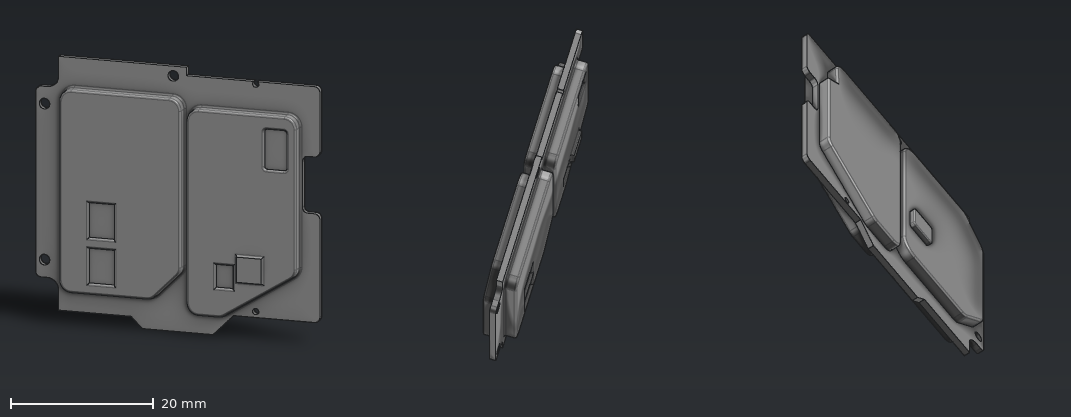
import cadquery as cq
import math


BOARD_THICKNESS = 0.92
FRONT_COVER_HEIGHT = 1.75
BACK_COVER_HEIGHT = 1.68
FRONT_PAD_HEIGHT = 0.5
BACK_PAD_HEIGHT = 0.8
POCKET_DEPTH = 0.45
FRONT_FACE_Y = -FRONT_COVER_HEIGHT
BACK_FACE_Y = BOARD_THICKNESS + BACK_COVER_HEIGHT

BOARD_WIDTH = 41.95
BOARD_HEIGHT = 38.5
BOARD_CORNER_RADIUS = 0.8
SIDE_TAB_WIDTH = 3.35
SIDE_TAB_BOTTOM = 6.25
SIDE_TAB_TOP = 33.97
SIDE_TAB_ROOT_RADIUS = 1.65
TOP_STEP_X = 22.25
TOP_STEP_DROP = 1.2
NOTCH_DEPTH = 2.55
NOTCH_BOTTOM = 18.85
NOTCH_TOP = 27.05
LOWER_LEFT_Z = 1.65
LOWER_RIGHT_Z = 3.0
BOTTOM_TAB_LEFT = 15.73
BOTTOM_TAB_RIGHT = 26.15

SCREW_HOLE_DIAMETER = 1.5
SCREW_HOLES = [(1.3, 8.8), (1.3, 31.45), (20.3, 37.07)]
PIN_HOLE_DIAMETER = 0.9
PIN_HOLE_X = 32.45
PIN_HOLE_LOWER_Z = 3.9
PIN_HOLE_UPPER_Z = 36.9

EDGE_RADIUS = 0.3
COVER_CORNER_RADIUS = 1.7
COVER_CHAMFER = 4.28
BACK_LARGE_RADIUS = 2.5

FRONT_LEFT_LEFT = 4.05
FRONT_LEFT_RIGHT = 21.98
FRONT_LEFT_BOTTOM = 4.8
FRONT_LEFT_TOP = 34.22

FRONT_RIGHT_LEFT = 22.85
COVER_RIGHT = 39.0
FRONT_RIGHT_BOTTOM = 3.05
FRONT_RIGHT_TOP = 32.95
SLANT_START_X = 28.0
SLANT_END_Z = 9.95

BACK_LEFT_LEFT = 2.3
BACK_LEFT_RIGHT = 21.05
BACK_LEFT_BOTTOM = 5.6
BACK_LEFT_TOP = 33.85

BACK_RIGHT_LEFT = 21.9
BACK_RIGHT_BOTTOM = 3.2
BACK_RIGHT_TOP = 34.15
BACK_RIGHT_SHOULDER_X = 37.1
BACK_RIGHT_SHOULDER_Z = NOTCH_TOP
BACK_RIGHT_UNDERCUT = 0.15
SHOULDER_SLOPE = 37.0

POCKETS = [
    (8.4, 13.0, 3.75, 5.07),
    (8.4, 6.37, 3.75, 5.07),
    (27.15, 7.35, 2.5, 3.35),
]
ROUNDED_POCKET = (34.25, 25.1, 3.3, 5.87)
ROUNDED_POCKET_RADIUS = 0.4
FRONT_PAD = (30.32, 8.5, 3.7, 3.7)
BACK_PAD = (15.5, 12.4, 4.28, 4.28)
BACK_PAD_CORNER_RADIUS = 0.5
BACK_PAD_EDGE_RADIUS = 0.15

TOLERANCE = 0.02
DEPTH_REACH = 20.95


def prism(corners, y_start, y_end):
    """Solid between two Y planes; each corner is (x, z, radius), radius 0 stays sharp."""
    points = [(x, z) for x, z, _ in corners]
    solid = cq.Workplane("XZ", origin=(0, y_start, 0)).polyline(points).close().extrude(y_start - y_end)
    for x, z, radius in corners:
        if radius > 0:
            low = (x - TOLERANCE, -DEPTH_REACH, z - TOLERANCE)
            high = (x + TOLERANCE, DEPTH_REACH, z + TOLERANCE)
            solid = solid.edges("|Y").edges(cq.selectors.BoxSelector(low, high)).fillet(radius)
    return solid


def block(rectangle, y_start, y_end, radius=0.0):
    """Prism over a (left, bottom, width, height) rectangle with equal corner radii."""
    left, bottom, width, height = rectangle
    right = left + width
    top = bottom + height
    corners = [(left, bottom, radius), (right, bottom, radius), (right, top, radius), (left, top, radius)]
    return prism(corners, y_start, y_end)


def round_rim(body, feature, y, radius=EDGE_RADIUS):
    """Fillet the edges of body that lie in the plane Y = y where the feature meets it."""
    box = feature.val().BoundingBox()
    low = (box.xmin - TOLERANCE, y - TOLERANCE, box.zmin - TOLERANCE)
    high = (box.xmax + TOLERANCE, y + TOLERANCE, box.zmax + TOLERANCE)
    return body.edges(cq.selectors.BoxSelector(low, high, boundingbox=True)).fillet(radius)


def make_board():
    """Flat board without its holes."""
    r = BOARD_CORNER_RADIUS
    step_top = BOARD_HEIGHT - TOP_STEP_DROP
    notch_x = BOARD_WIDTH - NOTCH_DEPTH
    outline = [
        (0, SIDE_TAB_BOTTOM, r),
        (SIDE_TAB_WIDTH, SIDE_TAB_BOTTOM, SIDE_TAB_ROOT_RADIUS),
        (SIDE_TAB_WIDTH, LOWER_LEFT_Z, 0),
        (BOTTOM_TAB_LEFT - LOWER_LEFT_Z, LOWER_LEFT_Z, 0),
        (BOTTOM_TAB_LEFT, 0, 0),
        (BOTTOM_TAB_RIGHT, 0, 0),
        (BOTTOM_TAB_RIGHT + LOWER_RIGHT_Z, LOWER_RIGHT_Z, 0),
        (BOARD_WIDTH, LOWER_RIGHT_Z, r),
        (BOARD_WIDTH, NOTCH_BOTTOM, r),
        (notch_x, NOTCH_BOTTOM, r),
        (notch_x, NOTCH_TOP, r),
        (BOARD_WIDTH, NOTCH_TOP, r),
        (BOARD_WIDTH, step_top, r),
        (TOP_STEP_X, step_top, 0),
        (TOP_STEP_X, BOARD_HEIGHT, 0),
        (SIDE_TAB_WIDTH, BOARD_HEIGHT, 0),
        (SIDE_TAB_WIDTH, SIDE_TAB_TOP, SIDE_TAB_ROOT_RADIUS),
        (0, SIDE_TAB_TOP, r),
    ]
    return prism(outline, 0, BOARD_THICKNESS)


def make_drills():
    """Cutters for all holes through the board."""
    pin_holes = [(PIN_HOLE_X, PIN_HOLE_LOWER_Z), (PIN_HOLE_X, PIN_HOLE_UPPER_Z)]
    plane = cq.Workplane("XZ")
    screw_drills = plane.pushPoints(SCREW_HOLES).circle(SCREW_HOLE_DIAMETER / 2).extrude(-BOARD_THICKNESS)
    pin_drills = plane.pushPoints(pin_holes).circle(PIN_HOLE_DIAMETER / 2).extrude(-BOARD_THICKNESS)
    return screw_drills.add(pin_drills).combine()


def make_front_covers():
    r = COVER_CORNER_RADIUS
    left_outline = [
        (FRONT_LEFT_LEFT, FRONT_LEFT_BOTTOM, r),
        (FRONT_LEFT_RIGHT - COVER_CHAMFER, FRONT_LEFT_BOTTOM, r),
        (FRONT_LEFT_RIGHT, FRONT_LEFT_BOTTOM + COVER_CHAMFER, r),
        (FRONT_LEFT_RIGHT, FRONT_LEFT_TOP, r),
        (FRONT_LEFT_LEFT, FRONT_LEFT_TOP, r),
    ]
    right_outline = [
        (FRONT_RIGHT_LEFT, FRONT_RIGHT_BOTTOM, r),
        (SLANT_START_X, FRONT_RIGHT_BOTTOM, r),
        (COVER_RIGHT, SLANT_END_Z, r),
        (COVER_RIGHT, FRONT_RIGHT_TOP, r),
        (FRONT_RIGHT_LEFT, FRONT_RIGHT_TOP, r),
    ]
    covers = [prism(outline, 0, FRONT_FACE_Y) for outline in (left_outline, right_outline)]
    return [cover.faces("<Y").edges().fillet(EDGE_RADIUS) for cover in covers]


def make_back_covers():
    r = COVER_CORNER_RADIUS
    left_outline = [
        (BACK_LEFT_LEFT, BACK_LEFT_BOTTOM + COVER_CHAMFER, r),
        (BACK_LEFT_LEFT + COVER_CHAMFER, BACK_LEFT_BOTTOM, r),
        (BACK_LEFT_RIGHT, BACK_LEFT_BOTTOM, BACK_LARGE_RADIUS),
        (BACK_LEFT_RIGHT, BACK_LEFT_TOP, BACK_LARGE_RADIUS),
        (BACK_LEFT_LEFT + COVER_CHAMFER, BACK_LEFT_TOP, r),
        (BACK_LEFT_LEFT, BACK_LEFT_TOP - COVER_CHAMFER, r),
    ]
    shoulder_rise = (COVER_RIGHT - BACK_RIGHT_SHOULDER_X) * math.tan(math.radians(SHOULDER_SLOPE))
    right_outline = [
        (BACK_RIGHT_LEFT, BACK_RIGHT_BOTTOM, r),
        (SLANT_START_X, BACK_RIGHT_BOTTOM, r),
        (COVER_RIGHT, SLANT_END_Z, r),
        (COVER_RIGHT, BACK_RIGHT_SHOULDER_Z, 0),
        (BACK_RIGHT_SHOULDER_X - BACK_RIGHT_UNDERCUT, BACK_RIGHT_SHOULDER_Z + shoulder_rise, 0),
        (BACK_RIGHT_SHOULDER_X, BACK_RIGHT_TOP, r),
        (BACK_RIGHT_LEFT, BACK_RIGHT_TOP, r),
    ]
    covers = [prism(outline, BOARD_THICKNESS, BACK_FACE_Y) for outline in (left_outline, right_outline)]
    return [cover.faces(">Y").edges().fillet(EDGE_RADIUS) for cover in covers]


body = make_board()

for cover in make_front_covers():
    body = round_rim(body.union(cover), cover, 0)

for cover in make_back_covers():
    body = body.union(cover)

body = body.cut(make_drills())

pocket_floor_y = FRONT_FACE_Y + POCKET_DEPTH
pockets = [block(rectangle, FRONT_FACE_Y, pocket_floor_y) for rectangle in POCKETS]
pockets.append(block(ROUNDED_POCKET, FRONT_FACE_Y, pocket_floor_y, ROUNDED_POCKET_RADIUS))
for pocket in pockets:
    body = round_rim(body.cut(pocket), pocket, FRONT_FACE_Y)

front_pad = block(FRONT_PAD, FRONT_FACE_Y, FRONT_FACE_Y - FRONT_PAD_HEIGHT)
body = round_rim(body.union(front_pad), front_pad, FRONT_FACE_Y)

back_pad = block(BACK_PAD, BACK_FACE_Y, BACK_FACE_Y + BACK_PAD_HEIGHT, BACK_PAD_CORNER_RADIUS)
result = body.union(back_pad.faces(">Y").edges().fillet(BACK_PAD_EDGE_RADIUS))